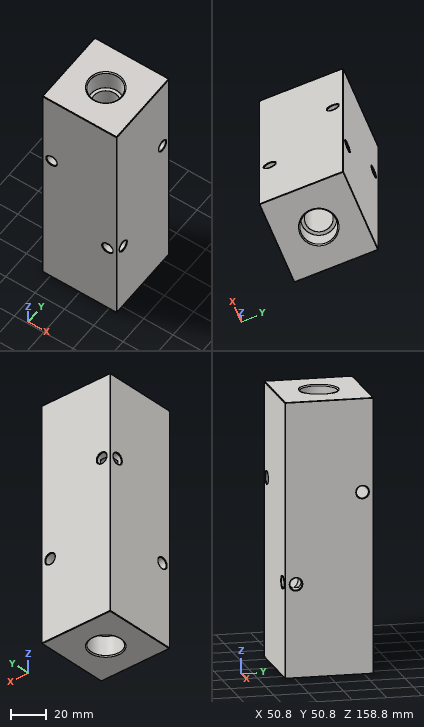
import cadquery as cq
height = 158.8
width = 50.8
edge_chamfer = 0.3

bore_diameter = 16.0
port_diameter = 21.1
port_taper = 1 / 16
port_depth = 13.2
port_chamfer = 0.71

hole_diameter = 7.0
hole_chamfer = 0.4
hole_offset = 19.0
hole_rise = 25.4


def chamfered_hole(diameter, length, chamfer):
    """Cutter along Z, centred on the origin, flaring at both ends."""
    radius = diameter / 2
    half = length / 2
    profile = [
        (0, -half),
        (radius + chamfer, -half),
        (radius, -half + chamfer),
        (radius, half - chamfer),
        (radius + chamfer, half),
        (0, half),
    ]
    return cq.Workplane("XZ").polyline(profile).close().revolve(360, (0, 0), (0, 1))


def port():
    """Cutter for the tapered port, sunk from the top face with a chamfered mouth."""
    radius = port_diameter / 2
    floor_radius = radius - port_taper * port_depth / 2
    top = height / 2
    profile = [
        (0, top - port_depth),
        (floor_radius, top - port_depth),
        (radius, top - port_chamfer),
        (radius + port_chamfer, top),
        (0, top),
    ]
    return cq.Workplane("XZ").polyline(profile).close().revolve(360, (0, 0), (0, 1))


block = cq.Workplane("XY").box(width, width, height).edges().chamfer(edge_chamfer)

bore = cq.Workplane("XY").circle(bore_diameter / 2).extrude(height / 2, both=True)
top_port = port()
bottom_port = top_port.mirror("XY")
result = block.cut(bore).cut(top_port).cut(bottom_port)

cross_hole = chamfered_hole(hole_diameter, width, hole_chamfer)
hole_along_x = cross_hole.rotate((0, 0, 0), (0, 1, 0), 90)
hole_along_y = cross_hole.rotate((0, 0, 0), (1, 0, 0), 90)
for side in (1, -1):
    rise = side * hole_rise
    result = result.cut(hole_along_x.translate((0, side * hole_offset, rise)))
    result = result.cut(hole_along_y.translate((-side * hole_offset, 0, rise)))